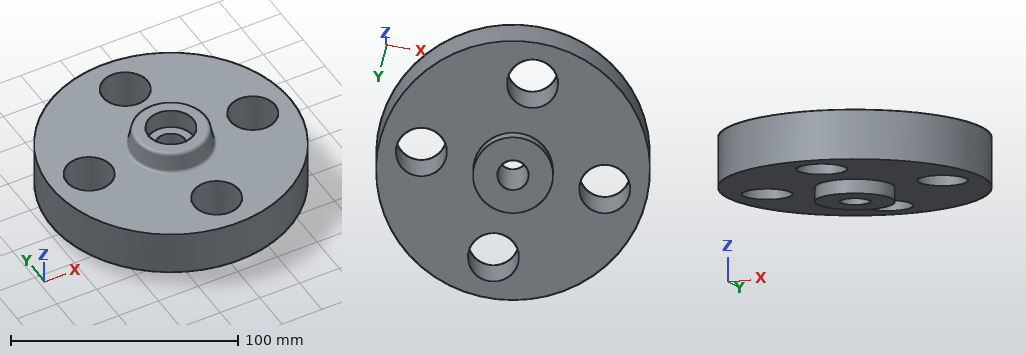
import cadquery as cq


flange_diameter = 120.6
flange_thickness = 22.3

face_diameter = 35.2
face_height = 6.4

hub_base_diameter = 38.6
hub_height = 9.4
hub_taper_angle = 12.0
hub_top_round = 1.7
hub_root_fillet = 1.6

bore_diameter = 13.8
socket_diameter = 22.4
socket_depth = 9.6

bolt_hole_count = 4
bolt_hole_diameter = 22.4
bolt_circle_diameter = 82.5

flange_bottom = face_height
flange_top = flange_bottom + flange_thickness
total_height = flange_top + hub_height


def cylinder(diameter, bottom, height):
    """Solid cylinder on the flange axis."""
    return cq.Workplane("XY").workplane(offset=bottom).circle(diameter / 2).extrude(height)


def make_hub():
    """Tapered hub with a rounded top rim."""
    base = cq.Workplane("XY").workplane(offset=flange_top).circle(hub_base_diameter / 2)
    hub = base.extrude(hub_height, taper=hub_taper_angle)
    return hub.faces(">Z").edges().fillet(hub_top_round)


def make_bolt_holes():
    """Cutters for the bolt holes, spread evenly around the plate."""
    plane = cq.Workplane("XY").workplane(offset=flange_bottom)
    centres = plane.polarArray(bolt_circle_diameter / 2, 0, 360, bolt_hole_count)
    return centres.circle(bolt_hole_diameter / 2).extrude(flange_thickness)


def root_edge_selector():
    """Box around the hub root circle, leaving out the plate rim and the bolt holes."""
    reach = hub_base_diameter / 2 + hub_root_fillet
    margin = hub_root_fillet / 2
    return cq.selectors.BoxSelector(
        (-reach, -reach, flange_top - margin),
        (reach, reach, flange_top + margin),
        boundingbox=True,
    )


raised_face = cylinder(face_diameter, 0, face_height)
plate = cylinder(flange_diameter, flange_bottom, flange_thickness)
body = raised_face.union(plate).union(make_hub())
body = body.edges(root_edge_selector()).fillet(hub_root_fillet)

bore = cylinder(bore_diameter, 0, total_height)
socket = cylinder(socket_diameter, total_height - socket_depth, socket_depth)
result = body.cut(bore).cut(socket).cut(make_bolt_holes())